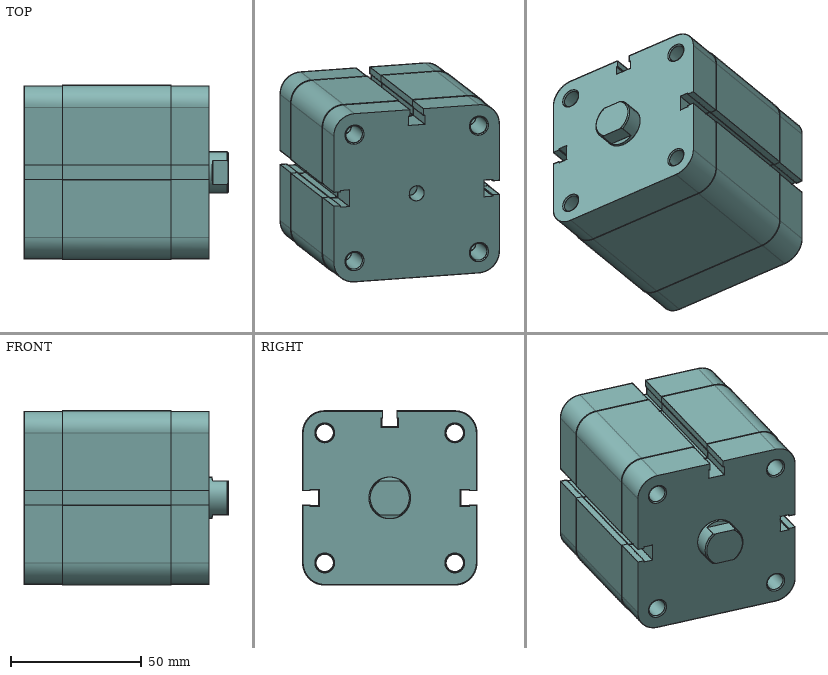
import cadquery as cq
import math

total_length = 78.5
cap_length = 14.75
barrel_length = 41.6
barrel_start = cap_length
front_cap_start = barrel_start + barrel_length
body_length = front_cap_start + cap_length

barrel_size = 67.0
cap_inset = 0.2
cap_size = barrel_size - 2 * cap_inset
hole_spacing = 50.0

mount_hole_diameter = 6.7
mount_rim_diameter = 7.6
mount_rim_chamfer = (mount_rim_diameter - mount_hole_diameter) / 2

slot_neck_width = 5.5
slot_neck_depth = 2.9
barrel_slot_width = 6.0
barrel_slot_depth = 6.1
slot_clearance = 0.3
cap_slot_width = barrel_slot_width + 2 * slot_clearance
cap_slot_depth = barrel_slot_depth + slot_clearance
slot_angles = (0, 90, -90)

center_hole_diameter = 6.0
center_hole_depth = 9.4

rod_diameter = 16.0
rod_tip_chamfer = 0.5
flat_distance = 13.0
flat_length = 6.0
flat_end_angle = 15.0


def square_block(start, length, size):
    """Square bar along X with corners rounded about the mounting hole axes."""
    corner_radius = (size - hole_spacing) / 2
    return (
        cq.Workplane("YZ", origin=(start, 0, 0))
        .rect(size, size)
        .extrude(length)
        .edges("|X")
        .fillet(corner_radius)
    )


def cut_slots(block, start, length, width, depth):
    """Cut a T-slot along the whole block on the top and both sides."""
    outer_face = barrel_size / 2
    neck = (
        cq.Workplane("YZ", origin=(start, 0, outer_face - slot_neck_depth / 2))
        .rect(slot_neck_width, slot_neck_depth)
        .extrude(length)
    )
    channel_height = depth - slot_neck_depth
    channel = (
        cq.Workplane("YZ", origin=(start, 0, outer_face - depth + channel_height / 2))
        .rect(width, channel_height)
        .extrude(length)
    )
    slot = neck.union(channel)
    for angle in slot_angles:
        block = block.cut(slot.rotate((0, 0, 0), (1, 0, 0), angle))
    return block


def cut_mounting_holes(block, start, length):
    """Cut the four corner holes through the block."""
    holes = (
        cq.Workplane("YZ", origin=(start, 0, 0))
        .rect(hole_spacing, hole_spacing, forConstruction=True)
        .vertices()
        .circle(mount_hole_diameter / 2)
        .extrude(length)
    )
    return block.cut(holes)


def cut_hole_rims(block, face_x, inward):
    """Chamfer the mounting holes at an outer face; inward is the X direction into the block."""
    for y_side in (-1, 1):
        for z_side in (-1, 1):
            rim = cq.Solid.makeCone(
                mount_rim_diameter / 2,
                mount_hole_diameter / 2,
                mount_rim_chamfer,
                cq.Vector(face_x, y_side * hole_spacing / 2, z_side * hole_spacing / 2),
                cq.Vector(inward, 0, 0),
            )
            block = block.cut(cq.Workplane(obj=rim))
    return block


def make_cap(start):
    """End cap with T-slots and mounting holes."""
    cap = square_block(start, cap_length, cap_size)
    cap = cut_slots(cap, start, cap_length, cap_slot_width, cap_slot_depth)
    return cut_mounting_holes(cap, start, cap_length)


def make_rear_cap():
    """Rear cap with chamfered hole rims and a blind hole in the middle."""
    cap = cut_hole_rims(make_cap(0), 0, 1)
    center_hole = cq.Workplane("YZ").circle(center_hole_diameter / 2).extrude(center_hole_depth)
    return cap.cut(center_hole)


def make_front_cap():
    """Front cap with chamfered hole rims and a bore for the piston rod."""
    cap = cut_hole_rims(make_cap(front_cap_start), body_length, -1)
    rod_bore = (
        cq.Workplane("YZ", origin=(front_cap_start, 0, 0))
        .circle(rod_diameter / 2)
        .extrude(cap_length)
    )
    return cap.cut(rod_bore)


def make_barrel():
    """Middle body between the caps."""
    barrel = square_block(barrel_start, barrel_length, barrel_size)
    barrel = cut_slots(barrel, barrel_start, barrel_length, barrel_slot_width, barrel_slot_depth)
    return cut_mounting_holes(barrel, barrel_start, barrel_length)


def make_piston_rod():
    """Rod through the front cap with a chamfered tip and flats above and below."""
    rod = (
        cq.Workplane("YZ", origin=(front_cap_start, 0, 0))
        .circle(rod_diameter / 2)
        .extrude(total_length - front_cap_start)
        .faces(">X")
        .chamfer(rod_tip_chamfer)
    )
    flat_start = total_length - flat_length
    flat_height = flat_distance / 2
    rod_top = rod_diameter / 2
    step_run = (rod_top - flat_height) * math.tan(math.radians(flat_end_angle))
    flat_cutter = (
        cq.Workplane("XZ")
        .moveTo(flat_start, flat_height)
        .lineTo(total_length, flat_height)
        .lineTo(total_length, rod_top)
        .lineTo(flat_start - step_run, rod_top)
        .close()
        .extrude(rod_diameter / 2, both=True)
    )
    return rod.cut(flat_cutter).cut(flat_cutter.mirror("XY"))


rear_cap = make_rear_cap()
barrel = make_barrel()
front_cap = make_front_cap()
piston_rod = make_piston_rod()

result = cq.Compound.makeCompound([rear_cap.val(), barrel.val(), front_cap.val(), piston_rod.val()])